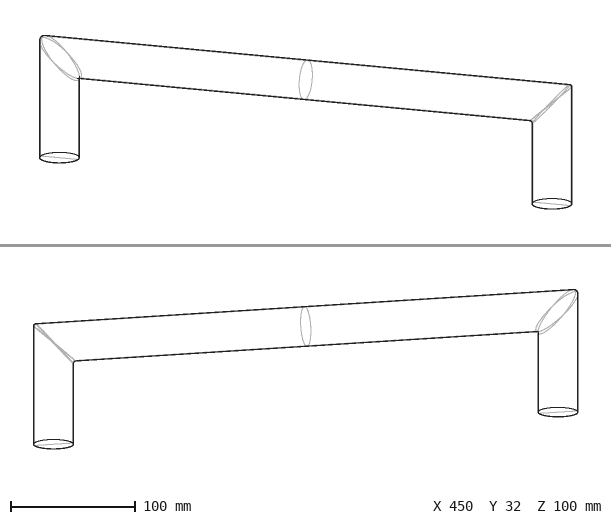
import cadquery as cq

LENGTH = 450.0
HEIGHT = 100.0
DIAMETER = 32.0
MITRE_BLEND_RADIUS = 2.0

RADIUS = DIAMETER / 2
HALF_LENGTH = LENGTH / 2
LEG_OFFSET = HALF_LENGTH - RADIUS
GRIP_AXIS_HEIGHT = HEIGHT - RADIUS


def make_quarter_strip(side):
    """Outer (+1) or inner (-1) side of the back left quarter, with its mitre edge blended."""
    section = (
        cq.Workplane("XY", origin=(-LEG_OFFSET, 0, 0))
        .lineTo(-side * RADIUS, 0)
        .radiusArc((0, RADIUS), side * RADIUS)
        .close()
    )
    path = (
        cq.Workplane("XZ")
        .moveTo(-LEG_OFFSET, 0)
        .lineTo(-LEG_OFFSET, GRIP_AXIS_HEIGHT)
        .lineTo(0, GRIP_AXIS_HEIGHT)
    )
    strip = section.sweep(path, transition="right")
    return strip.edges("%ELLIPSE or %BSPLINE").fillet(MITRE_BLEND_RADIUS)


def make_handle():
    """One-piece handle: a blended quarter mirrored front to back, then left to right."""
    quarter = make_quarter_strip(1).union(make_quarter_strip(-1))
    half = quarter.union(quarter.mirror("XZ"), clean=False)
    return half.union(half.mirror("YZ"), clean=False)


handle = make_handle()

result = cq.Compound.makeCompound([handle.val()])